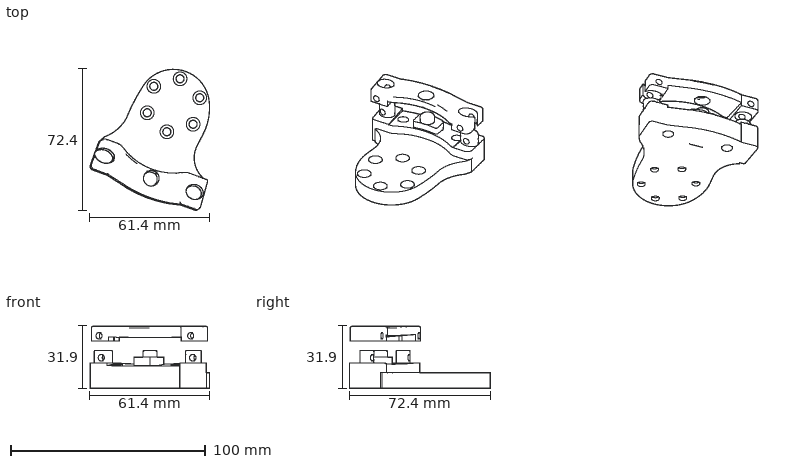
import cadquery as cq
import math

TURN = -20.0

PLATE_TOP = 8.0
HUB_RADIUS = 18.5
HOLE_CIRCLE_RADIUS = 14.0
HOLE_COUNT = 6
HOLE_START_ANGLE = 36.0
HOLE_DIAMETER = 4.0
COUNTERBORE_DIAMETER = 7.0
COUNTERBORE_DEPTH = 6.0

TOWER_TOP = 13.0
LEFT_END_X = -29.6
LEFT_BACK_Y = -28.75
LEFT_FRONT_Y = -45.4
LEFT_WALL_X = -19.75
RIGHT_BACK_X = 29.35
RIGHT_FRONT_X = 30.6
RIGHT_BACK_Y = -30.55
RIGHT_FRONT_Y = -46.85
RIGHT_WALL_FRONT_X = 20.5
RIGHT_WALL_BACK_X = 19.3
FRONT_ARC_CENTER = (4.04, 12.55)
FRONT_ARC_RADIUS = 61.8
FRONT_ARC_START_X = -12.6
BACK_ARC_CENTER = (0.5, -2.7)
BACK_ARC_RADIUS = 32.5
FRONT_CORNER_RADIUS = 2.0
LEFT_BACK_CORNER_RADIUS = 3.0
RIGHT_BACK_CORNER_RADIUS = 1.0
SADDLE_BLEND_RADIUS = 6.0
EDGE_MARGIN = 10.0

SEAT_SLOPE = 4.5
SEAT_LINE_Y = -28.0
SEAT_HOLES = [(-16.6, -38.5), (15.8, -39.4)]
SEAT_HOLE_DIAMETER = 5.5

LEFT_POST = ((-24.8, -37.0), 4.85, 3.4)
RIGHT_POST = ((24.95, -38.7), 4.15, 3.5)
LOCK_HOLE_X = [-24.8, 25.75]
POST_TOP = 19.5
POST_ROUNDING = 0.6
LOCK_HOLE_DIAMETER = 3.3
LOCK_HOLE_RISE = 2.7

PIN_CENTER = (1.65, -39.7)
PIN_DIAMETER = 7.4
PIN_TOP = 19.5
PIN_ROUNDING = 1.1
FOOT_TOP = 16.0
FOOT_BOTTOM = 11.4
FOOT_LEFT_X = -6.2
FOOT_RIGHT_X = 8.0
FOOT_LEFT_FRONT_Y = -43.4
FOOT_RIGHT_FRONT_Y = -44.2
FOOT_NOSE = (0.1, -44.85)
FOOT_NOTCH = (3.25, -43.85)
FOOT_NOSE_RADIUS = 4.0
FOOT_BACK_ARC_RADIUS = BACK_ARC_RADIUS + 1.0
FOOT_FRONT_CORNER_RADIUS = 2.0
FOOT_BACK_CORNER_RADIUS = 1.0

COVER_SHIFT = (0.65, 0.44)
COVER_BOTTOM = 24.25
COVER_TOP = 31.85
COVER_ROUNDING = 1.0
STRAP_CLEARANCE = 3.4
POST_CLEARANCE = 0.3
COVER_PIN_HOLE_DIAMETER = 8.0


def arc_y(center, radius, x):
    """Y of the lower half of a circle at the given x."""
    return center[1] - math.sqrt(radius**2 - (x - center[0]) ** 2)


def arc_x_offset(center, radius, y):
    """Half of the chord that the circle cuts from the line at the given y."""
    return math.sqrt(radius**2 - (y - center[1]) ** 2)


def near(x, y, bottom, top):
    """Selector for the upright edge that stands at (x, y)."""
    reach = 0.2
    return cq.selectors.BoxSelector((x - reach, y - reach, bottom - 1), (x + reach, y + reach, top + 1))


def round_upright(body, x, y, bottom, top, radius):
    return body.edges(near(x, y, bottom, top)).edges("|Z").fillet(radius)


def clamp_body(bottom, top):
    """The clamp outline shared by the block and its cover, with its upright edges rounded."""
    chord_left = BACK_ARC_CENTER[0] - arc_x_offset(BACK_ARC_CENTER, BACK_ARC_RADIUS, LEFT_BACK_Y)
    chord_right = BACK_ARC_CENTER[0] + arc_x_offset(BACK_ARC_CENTER, BACK_ARC_RADIUS, RIGHT_BACK_Y)
    back_middle = (BACK_ARC_CENTER[0], BACK_ARC_CENTER[1] - BACK_ARC_RADIUS)
    front_middle = (FRONT_ARC_CENTER[0], FRONT_ARC_CENTER[1] - FRONT_ARC_RADIUS)
    front_start = (FRONT_ARC_START_X, arc_y(FRONT_ARC_CENTER, FRONT_ARC_RADIUS, FRONT_ARC_START_X))
    front_end = (RIGHT_WALL_FRONT_X, arc_y(FRONT_ARC_CENTER, FRONT_ARC_RADIUS, RIGHT_WALL_FRONT_X))
    body = (
        cq.Workplane("XY", origin=(0, 0, bottom))
        .moveTo(LEFT_END_X, LEFT_BACK_Y)
        .lineTo(LEFT_END_X, LEFT_FRONT_Y)
        .lineTo(LEFT_WALL_X, LEFT_FRONT_Y)
        .lineTo(*front_start)
        .threePointArc(front_middle, front_end)
        .lineTo(RIGHT_WALL_FRONT_X, RIGHT_FRONT_Y)
        .lineTo(RIGHT_FRONT_X, RIGHT_FRONT_Y)
        .lineTo(RIGHT_BACK_X, RIGHT_BACK_Y)
        .lineTo(chord_right, RIGHT_BACK_Y)
        .threePointArc(back_middle, (chord_left, LEFT_BACK_Y))
        .close()
        .extrude(top - bottom)
    )
    corners = [
        (LEFT_END_X, LEFT_FRONT_Y, FRONT_CORNER_RADIUS),
        (RIGHT_FRONT_X, RIGHT_FRONT_Y, FRONT_CORNER_RADIUS),
        (LEFT_END_X, LEFT_BACK_Y, LEFT_BACK_CORNER_RADIUS),
        (RIGHT_BACK_X, RIGHT_BACK_Y, RIGHT_BACK_CORNER_RADIUS),
        (chord_left, LEFT_BACK_Y, SADDLE_BLEND_RADIUS),
        (chord_right, RIGHT_BACK_Y, SADDLE_BLEND_RADIUS),
    ]
    for x, y, radius in corners:
        body = round_upright(body, x, y, bottom, top, radius)
    return body


def seat_height(y):
    """Height of the sloping strap seat at the given y."""
    return TOWER_TOP + (y - SEAT_LINE_Y) * math.tan(math.radians(SEAT_SLOPE))


def seat_space(lift, limit):
    """Space between the towers, from the seat plane raised by `lift` up or down to `limit`."""
    back_y = SEAT_LINE_Y + EDGE_MARGIN
    front_y = RIGHT_FRONT_Y - EDGE_MARGIN
    wedge = (
        cq.Workplane("YZ", origin=(LEFT_END_X, 0, 0))
        .moveTo(back_y, seat_height(back_y) + lift)
        .lineTo(front_y, seat_height(front_y) + lift)
        .lineTo(front_y, limit)
        .lineTo(back_y, limit)
        .close()
        .extrude(RIGHT_FRONT_X - LEFT_END_X)
    )
    wall_lean = (RIGHT_WALL_BACK_X - RIGHT_WALL_FRONT_X) / (RIGHT_BACK_Y - RIGHT_FRONT_Y)
    plan = (
        cq.Workplane("XY")
        .moveTo(LEFT_WALL_X, back_y)
        .lineTo(LEFT_WALL_X, front_y)
        .lineTo(RIGHT_WALL_FRONT_X + wall_lean * (front_y - RIGHT_FRONT_Y), front_y)
        .lineTo(RIGHT_WALL_FRONT_X + wall_lean * (back_y - RIGHT_FRONT_Y), back_y)
        .close()
        .extrude(COVER_TOP)
    )
    return wedge.intersect(plan)


def mounting_plate():
    """Round hub flaring out to the ends of the clamp block."""
    plate = (
        cq.Workplane("XY")
        .moveTo(-18.0, 4.3)
        .threePointArc((0, HUB_RADIUS), (17.1, 7.1))
        .threePointArc((19.6, -2.8), (19.3, -9.5))
        .lineTo(18.6, -14.8)
        .threePointArc((19.5, -22.3), (26.8, -29.7))
        .lineTo(26.8, -35)
        .lineTo(LEFT_END_X, -35)
        .lineTo(LEFT_END_X, -30.6)
        .lineTo(-27.7, -27.2)
        .threePointArc((-22.7, -21.1), (-20.5, -14.7))
        .threePointArc((-19.85, -6.1), (-18.0, 4.3))
        .close()
        .extrude(PLATE_TOP)
    )
    return plate


def mounting_holes():
    holes = cq.Workplane("XY").polarArray(HOLE_CIRCLE_RADIUS, HOLE_START_ANGLE, 360, HOLE_COUNT)
    through = holes.circle(HOLE_DIAMETER / 2).extrude(PLATE_TOP)
    heads = (
        cq.Workplane("XY", origin=(0, 0, PLATE_TOP - COUNTERBORE_DEPTH))
        .polarArray(HOLE_CIRCLE_RADIUS, HOLE_START_ANGLE, 360, HOLE_COUNT)
        .circle(COUNTERBORE_DIAMETER / 2)
        .extrude(COUNTERBORE_DEPTH)
    )
    return through.union(heads)


def elliptical_column(post, clearance, bottom, top):
    (x, y), half_width, half_depth = post
    return (
        cq.Workplane("XY", origin=(x, y, bottom))
        .ellipse(half_width + clearance, half_depth + clearance)
        .extrude(top - bottom)
    )


def lock_hole(x, back_y, seat):
    """Horizontal bore from the front of the clamp back to back_y."""
    front_y = RIGHT_FRONT_Y - EDGE_MARGIN
    return (
        cq.Workplane("XZ", origin=(x, back_y, seat + LOCK_HOLE_RISE))
        .circle(LOCK_HOLE_DIAMETER / 2)
        .extrude(back_y - front_y)
    )


def make_base(foot):
    base = clamp_body(0, TOWER_TOP).cut(seat_space(0, TOWER_TOP + EDGE_MARGIN))
    base = base.union(mounting_plate()).cut(mounting_holes())
    seat_holes = cq.Workplane("XY").pushPoints(SEAT_HOLES).circle(SEAT_HOLE_DIAMETER / 2).extrude(TOWER_TOP)
    base = base.cut(seat_holes)
    for post, hole_x in zip((LEFT_POST, RIGHT_POST), LOCK_HOLE_X):
        column = elliptical_column(post, 0, TOWER_TOP, POST_TOP).faces(">Z").edges().fillet(POST_ROUNDING)
        base = base.union(column.cut(lock_hole(hole_x, LEFT_BACK_Y, TOWER_TOP)))
    return base.cut(foot)


def foot_plate():
    back_left_y = arc_y(BACK_ARC_CENTER, FOOT_BACK_ARC_RADIUS, FOOT_LEFT_X)
    back_right_y = arc_y(BACK_ARC_CENTER, FOOT_BACK_ARC_RADIUS, FOOT_RIGHT_X)
    back_middle = (BACK_ARC_CENTER[0], BACK_ARC_CENTER[1] - FOOT_BACK_ARC_RADIUS)
    foot = (
        cq.Workplane("XY", origin=(0, 0, FOOT_BOTTOM))
        .moveTo(FOOT_LEFT_X, back_left_y)
        .lineTo(FOOT_LEFT_X, FOOT_LEFT_FRONT_Y)
        .lineTo(*FOOT_NOSE)
        .lineTo(*FOOT_NOTCH)
        .lineTo(FOOT_RIGHT_X, FOOT_RIGHT_FRONT_Y)
        .lineTo(FOOT_RIGHT_X, back_right_y)
        .threePointArc(back_middle, (FOOT_LEFT_X, back_left_y))
        .close()
        .extrude(FOOT_TOP - FOOT_BOTTOM)
    )
    corners = [
        (FOOT_LEFT_X, FOOT_LEFT_FRONT_Y, FOOT_FRONT_CORNER_RADIUS),
        (FOOT_RIGHT_X, FOOT_RIGHT_FRONT_Y, FOOT_FRONT_CORNER_RADIUS),
        (FOOT_LEFT_X, back_left_y, FOOT_BACK_CORNER_RADIUS),
        (FOOT_RIGHT_X, back_right_y, FOOT_BACK_CORNER_RADIUS),
        (*FOOT_NOSE, FOOT_NOSE_RADIUS),
    ]
    for x, y, radius in corners:
        foot = round_upright(foot, x, y, FOOT_BOTTOM, FOOT_TOP, radius)
    return foot


def make_strap_pin():
    pin = cq.Workplane("XY", origin=(*PIN_CENTER, FOOT_TOP)).circle(PIN_DIAMETER / 2).extrude(PIN_TOP - FOOT_TOP)
    return foot_plate().union(pin.faces(">Z").edges().fillet(PIN_ROUNDING))


def make_cover():
    cover = clamp_body(COVER_BOTTOM, COVER_TOP).faces(">Z").edges().fillet(COVER_ROUNDING)
    lift = COVER_BOTTOM - TOWER_TOP + STRAP_CLEARANCE
    cover = cover.cut(seat_space(lift, COVER_BOTTOM - EDGE_MARGIN))
    for post, hole_x in zip((LEFT_POST, RIGHT_POST), LOCK_HOLE_X):
        cover = cover.cut(elliptical_column(post, POST_CLEARANCE, COVER_BOTTOM, COVER_TOP))
        cover = cover.cut(lock_hole(hole_x, LEFT_BACK_Y + EDGE_MARGIN, COVER_BOTTOM))
    pin_hole = (
        cq.Workplane("XY", origin=(*PIN_CENTER, COVER_BOTTOM))
        .circle(COVER_PIN_HOLE_DIAMETER / 2)
        .extrude(COVER_TOP - COVER_BOTTOM)
    )
    return cover.cut(pin_hole)


def turned(body):
    return body.rotate((0, 0, 0), (0, 0, 1), TURN)


strap_pin = make_strap_pin()
base = turned(make_base(strap_pin))
cover = turned(make_cover()).translate((*COVER_SHIFT, 0))
strap_pin = turned(strap_pin)

result = cq.Compound.makeCompound([base.val(), strap_pin.val(), cover.val()])